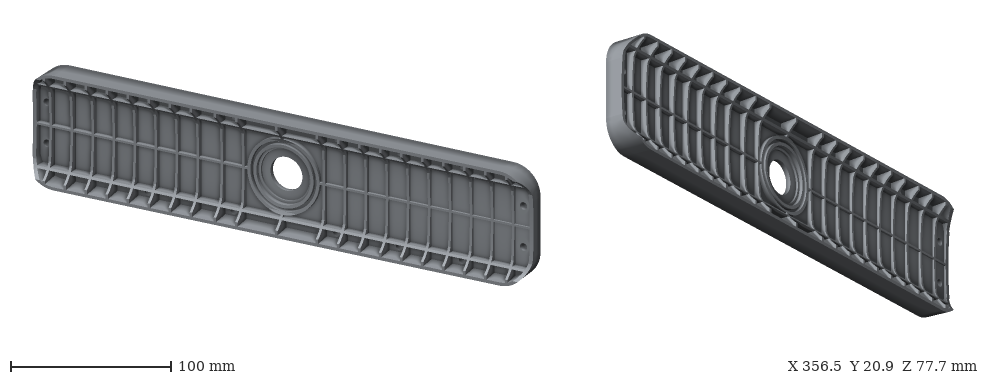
import cadquery as cq
import math

LENGTH = 356.5
HEIGHT = 77.7
DEPTH = 21.0
CORNER_RADIUS = 19.3
DRAFT_ANGLE = 1.5
END_SPREAD = 1.1
WALL_FOOT = 3.0
INNER_DRAFT_ANGLE = 5.0
FLOOR = 8.2

FRONT_SLOPE = 0.008
RIM_DEPTH = 19.5
RIM_INNER_Z = 34.0
FLANK_MID_DEPTH = 14.5
FLANK_MID_Z = 29.0
HOLLOW_EDGE_DEPTH = 11.8
HOLLOW_EDGE_Z = 23.5
HOLLOW_CENTRE_DEPTH = 10.7

CROSS_RIB = 1.8
LONG_RIB = 1.5
RIB_PITCH = 15.0
LEFT_INNER_RIBS = (-28.5, -44.0)
LEFT_FIRST_RIB = -61.0
LEFT_RIB_COUNT = 8
RIGHT_FIRST_RIB = 29.0
RIGHT_RIB_COUNT = 10
SIDE_RIB_Z = 27.8

BORE_RADIUS = 11.5
RECESS_RADIUS = 17.5
WEB_FRONT = 6.8
WEB_BACK = 3.5
RINGS = ((19.3, 21.5), (23.5, 25.5))

SCREW_RADIUS = 2.5
SCREW_Z = 32.0
SCREW_X = (-98.0, -36.7, 36.7, 81.5, 126.5)
END_SCREW_X = 170.5
END_SCREW_Z = 14.0

draft_growth = DEPTH * math.tan(math.radians(DRAFT_ANGLE))
back_length = LENGTH - END_SPREAD * draft_growth
back_height = HEIGHT - 2 * draft_growth


def plane_at(depth):
    """Workplane facing -Y at the given distance in front of the back face."""
    return cq.Workplane("XZ", origin=(0, -depth, 0))


def drafted_block(start, inset, draft):
    """Rounded block running forwards from the start depth, widening by the draft angle.

    The inset is measured from the outer face of the tray at the start depth.
    """
    growth = start * math.tan(math.radians(DRAFT_ANGLE)) - inset
    outline = cq.Sketch().rect(back_length + 2 * growth, back_height + 2 * growth)
    outline = outline.vertices().fillet(CORNER_RADIUS - inset)
    return plane_at(start).placeSketch(outline).extrude(DEPTH - start, taper=-draft)


def rib(x_from, x_to, z_from, z_to):
    """Upright rib standing on the floor and reaching the full depth of the tray."""
    centre = plane_at(FLOOR).center((x_from + x_to) / 2, (z_from + z_to) / 2)
    return centre.rect(x_to - x_from, z_to - z_from).extrude(DEPTH - FLOOR)


def cross_rib(x, z_from, z_to):
    return rib(x - CROSS_RIB / 2, x + CROSS_RIB / 2, z_from, z_to)


def long_rib(z, x_from, x_to):
    return rib(x_from, x_to, z - LONG_RIB / 2, z + LONG_RIB / 2)


def cylinder(radius, start, end=DEPTH):
    return plane_at(start).circle(radius).extrude(end - start)


def rib_grid():
    """All straight ribs, cleared from the centre opening."""
    left = [LEFT_FIRST_RIB - RIB_PITCH * i for i in range(LEFT_RIB_COUNT)]
    right = [RIGHT_FIRST_RIB + RIB_PITCH * i for i in range(RIGHT_RIB_COUNT)]
    half_length = LENGTH / 2
    half_height = HEIGHT / 2
    grid = long_rib(0, -half_length, half_length)
    for side in (-1, 1):
        grid = grid.union(long_rib(side * SIDE_RIB_Z, -half_length, half_length))
    for x in (*LEFT_INNER_RIBS, *left, *right):
        grid = grid.union(cross_rib(x, -half_height, half_height))
    grid = grid.union(cross_rib(0, -half_height, half_height))
    outer_ring_middle = sum(RINGS[-1]) / 2
    return grid.cut(cylinder(outer_ring_middle, FLOOR))


def centre_rings():
    rings = cq.Workplane()
    for inner, outer in RINGS:
        rings = rings.union(plane_at(FLOOR).circle(outer).circle(inner).extrude(DEPTH - FLOOR))
    return rings


def front_hollow():
    """Material in front of the hollow surface, to be cut away."""
    clear_depth = 2 * DEPTH
    clear_z = HEIGHT
    section = (
        cq.Workplane("YZ", origin=(-LENGTH, 0, 0))
        .moveTo(-clear_depth, -clear_z)
        .lineTo(-RIM_DEPTH, -clear_z)
        .lineTo(-RIM_DEPTH, -RIM_INNER_Z)
        .threePointArc((-FLANK_MID_DEPTH, -FLANK_MID_Z), (-HOLLOW_EDGE_DEPTH, -HOLLOW_EDGE_Z))
        .threePointArc((-HOLLOW_CENTRE_DEPTH, 0), (-HOLLOW_EDGE_DEPTH, HOLLOW_EDGE_Z))
        .threePointArc((-FLANK_MID_DEPTH, FLANK_MID_Z), (-RIM_DEPTH, RIM_INNER_Z))
        .lineTo(-RIM_DEPTH, clear_z)
        .lineTo(-clear_depth, clear_z)
        .close()
    )
    lean = math.degrees(math.atan(FRONT_SLOPE))
    return section.extrude(2 * LENGTH).rotate((0, 0, 0), (0, 0, 1), lean)


def screw_holes():
    points = [(x, side * SCREW_Z) for x in SCREW_X for side in (-1, 1)]
    points += [(end * END_SCREW_X, side * END_SCREW_Z) for end in (-1, 1) for side in (-1, 1)]
    return plane_at(0).pushPoints(points).circle(SCREW_RADIUS).extrude(DEPTH)


body = drafted_block(0, 0, DRAFT_ANGLE)
inner_fill = rib_grid().union(centre_rings()).intersect(body)
tray = body.cut(drafted_block(FLOOR, WALL_FOOT, INNER_DRAFT_ANGLE)).union(inner_fill)
tray = tray.cut(cylinder(RECESS_RADIUS, WEB_FRONT)).cut(cylinder(RECESS_RADIUS, 0, WEB_BACK))
tray = tray.cut(cylinder(BORE_RADIUS, 0))
result = tray.cut(front_hollow()).cut(screw_holes())